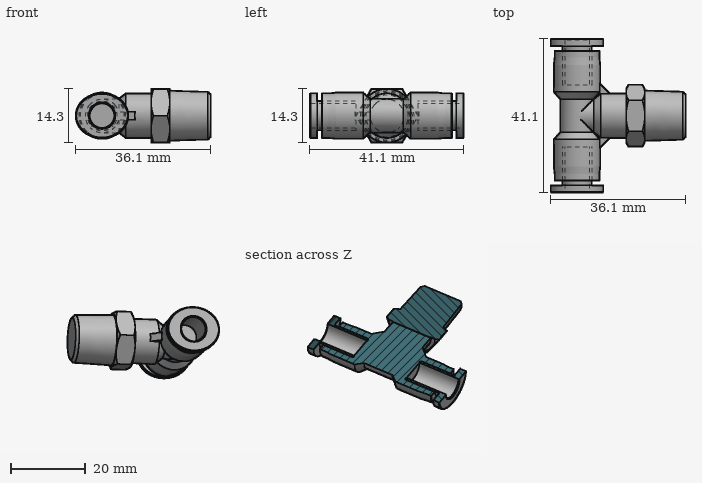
import cadquery as cq
import math


neck_radius = 4.5
neck_end = 4.4
shoulder_end = 6.33
socket_radius = 6.2
taper_start = 13.55
taper_end = 15.55
mouth_radius = 6.0
mouth_end = 17.4
mouth_chamfer = 0.15
branch_radius = 5.95
gusset_thickness = 2.05
gusset_reach = 14.7

sleeve_bore_radius = 6.55 / 2
sleeve_stem_radius = 7.9 / 2
sleeve_inner_end = 8.2
flange_start = 18.58
flange_end = 20.55
flange_width = 14.05
flange_height = 12.0
flange_chamfer = 0.2
bore_chamfer = 0.3

hex_start = 13.05
hex_length = 5.0
hex_end = hex_start + hex_length
hex_across_flats = 14.3
hex_across_corners = hex_across_flats / math.cos(math.radians(30))
hex_chamfer_angle = 30
hex_chamfer_length = (hex_across_corners - hex_across_flats) / 2 * math.tan(math.radians(hex_chamfer_angle))
thread_end = 29.05
thread_start_radius = 6.75
thread_taper = 1 / 32
thread_chamfer = 0.82
thread_chamfer_start = thread_end - thread_chamfer
thread_end_radius = thread_start_radius - thread_taper * (thread_chamfer_start - hex_end)


def turn_about_y(profile):
    """Revolve a list of (radius, y) points about the Y axis."""
    return cq.Workplane("XY").polyline(profile).close().revolve(360, (0, 0, 0), (0, 1, 0))


def turn_about_x(profile):
    """Revolve a list of (x, radius) points about the X axis."""
    return cq.Workplane("XY").polyline(profile).close().revolve(360, (0, 0, 0), (1, 0, 0))


def make_tube_arm():
    """One tube socket on the +Y side, from the tee centre to its mouth."""
    return turn_about_y([
        (0, 0),
        (neck_radius, 0),
        (neck_radius, neck_end),
        (socket_radius, shoulder_end),
        (socket_radius, taper_start),
        (mouth_radius, taper_end),
        (mouth_radius, mouth_end - mouth_chamfer),
        (mouth_radius - mouth_chamfer, mouth_end),
        (0, mouth_end),
    ])


def make_branch():
    """The arm that carries the threaded stud."""
    return turn_about_x([
        (0, 0),
        (0, neck_radius),
        (neck_end, neck_radius),
        (shoulder_end, branch_radius),
        (hex_start, branch_radius),
        (hex_start, 0),
    ])


def make_gussets():
    """Thin 45 degree webs in both corners between the branch and the sockets."""
    return (
        cq.Workplane("XY")
        .polyline([(0, -gusset_reach), (gusset_reach, 0), (0, gusset_reach)])
        .close()
        .extrude(gusset_thickness / 2, both=True)
        .intersect(cq.Workplane("XY").box(2 * hex_start, 2 * mouth_end, gusset_thickness))
    )


def make_sleeve_recess():
    """Blind hole on the +Y side that holds the sleeve stem."""
    return turn_about_y([
        (0, sleeve_inner_end),
        (sleeve_stem_radius, sleeve_inner_end),
        (sleeve_stem_radius, mouth_end),
        (0, mouth_end),
    ])


def make_tee_housing():
    arm = make_tube_arm()
    recess = make_sleeve_recess()
    body = arm.union(arm.mirror("XZ")).union(make_branch()).union(make_gussets())
    return body.cut(recess).cut(recess.mirror("XZ"))


def make_release_sleeve():
    """Tubular sleeve on the +Y side with an oval flange."""
    stem = (
        cq.Workplane("XZ", origin=(0, sleeve_inner_end, 0))
        .circle(sleeve_stem_radius)
        .extrude(sleeve_inner_end - flange_start)
    )
    flange = (
        cq.Workplane("XZ", origin=(0, flange_start, 0))
        .ellipse(flange_width / 2, flange_height / 2)
        .extrude(flange_start - flange_end)
        .faces(">Y")
        .chamfer(flange_chamfer)
    )
    bore = turn_about_y([
        (0, sleeve_inner_end),
        (sleeve_bore_radius, sleeve_inner_end),
        (sleeve_bore_radius, flange_end - bore_chamfer),
        (sleeve_bore_radius + bore_chamfer, flange_end),
        (0, flange_end),
    ])
    return stem.union(flange).cut(bore)


def make_hexagon():
    """Hexagon with flats facing +Z and -Z, its corners chamfered at both ends."""
    prism = (
        cq.Workplane("YZ", origin=(hex_start, 0, 0))
        .polygon(6, hex_across_corners)
        .extrude(hex_length)
    )
    chamfer_limit = turn_about_x([
        (hex_start, 0),
        (hex_start, hex_across_flats / 2),
        (hex_start + hex_chamfer_length, hex_across_corners / 2),
        (hex_end - hex_chamfer_length, hex_across_corners / 2),
        (hex_end, hex_across_flats / 2),
        (hex_end, 0),
    ])
    return prism.intersect(chamfer_limit)


def make_threaded_stud():
    """Hexagon and plain tapered thread cone."""
    thread = turn_about_x([
        (hex_end, 0),
        (hex_end, thread_start_radius),
        (thread_chamfer_start, thread_end_radius),
        (thread_end, thread_end_radius - thread_chamfer),
        (thread_end, 0),
    ])
    return make_hexagon().union(thread)


tee_housing = make_tee_housing()
threaded_stud = make_threaded_stud()
release_sleeves = []
for turn in (0, 180):
    sleeve = make_release_sleeve().rotate((0, 0, 0), (0, 0, 1), turn)
    release_sleeves.append(sleeve.val())

result = cq.Compound.makeCompound([tee_housing.val(), threaded_stud.val(), *release_sleeves])